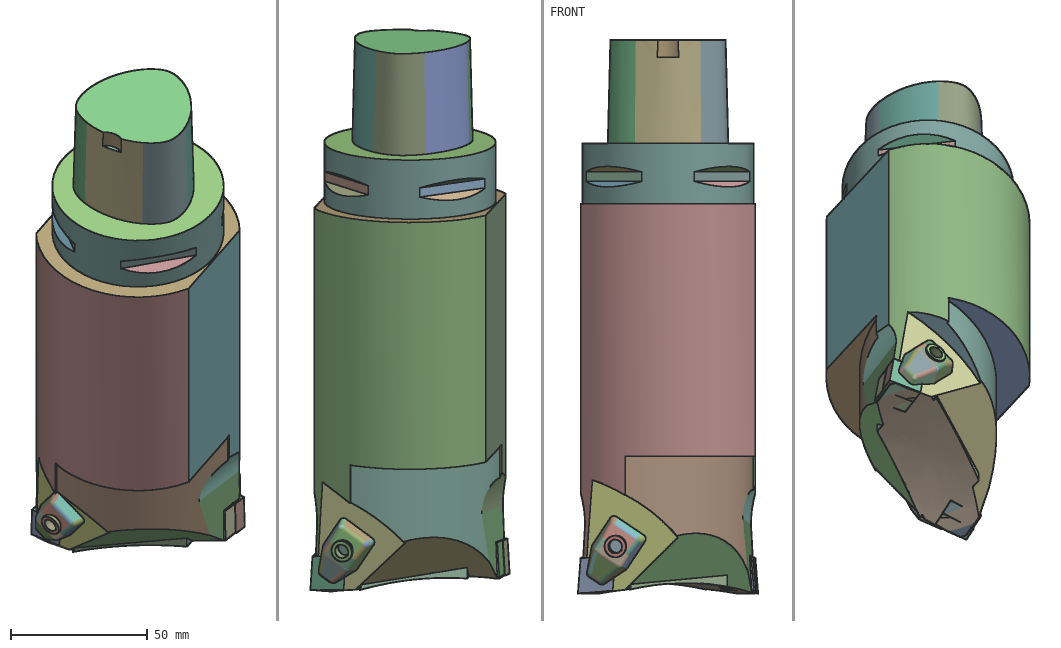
import cadquery as cq
import math

TOTAL_LENGTH = 203

SHANK_LENGTH = 38.0
SHANK_DIAMETER = 44.3
SHANK_LOBE = 1.6
SHANK_LOBE_COUNT = 3
SHANK_FIRST_FLANK = 30
SHANK_FLANK_HALF_ANGLE = 22
SHANK_SPLINE_STEPS = 8
SHANK_TAPER = 1 / 20
KEYWAY_DEPTH = 6.3
KEYWAY_RADIUS = 6
KEYWAY_OFFSET = 24.2

FLANGE_DIAMETER = 63
FLANGE_LENGTH = 22.1
GROOVE_FLOOR = 28.0
GROOVE_FLOOR_WIDTH = 3.5
GROOVE_MOUTH_WIDTH = 7.5
GROOVE_HEIGHT = 152.9
GROOVE_COUNT = 4

BODY_DIAMETER = 74.7
BODY_FLAT = 32.0
HEAD_LENGTH = 50.3

LUG_INNER_X = 15.6
LUG_INNER_Y = 11.4
RELIEF_AT_LUG_FACE_X = 32.9
RELIEF_AT_LUG_FACE_Y = 31.3
RELIEF_MID_REACH = 25.0
END_DISH_HEIGHT = 4.5
END_DISH_RADIUS = 127.9

TIP_X = -33.0
TIP_Y = -21.1
SEAT_RADIAL_TILT = 7
SEAT_AXIAL_TILT = 4.5

POCKET_WALL_START = (-5.0, 43.2)
POCKET_WALL_MIDDLE = (22.3, 34.7)
POCKET_WALL_END = (37.8, 19.9)
POCKET_FOOT = (15.0, -2)

INSERT_SIDE = 13.0
INSERT_ANGLE = 80
INSERT_THICKNESS = 5.5
SHIM_THICKNESS = 6
SHIM_SETBACK = 0.2

CHIP_SLOPE_X = 0.77
CHIP_SLOPE_Y = -1.1
CHIP_OFFSET = -12.2

LAND_START = (-14.0, -24.0)
LAND_END = (21.7, -2)
LAND_HEIGHT = 10.2

CLEARANCE_X = 27.6
CLEARANCE_STRAIGHT = 27.5
CLEARANCE_TOP = 46.7
CLEARANCE_OVERRUN = 4
CLEARANCE_ARC_RADIUS = 34.5
CLEARANCE_RADIAL_TILT = 7
CLEARANCE_AXIAL_TILT = 5
CLEARANCE_LEAN = 2

CLAMP_NOSE_U = 6
CLAMP_NOSE_V = 4.9
CLAMP_ANGLE = 56
CLAMP_LENGTH = 24.2
CLAMP_HALF_WIDTH = 7.7
CLAMP_NOSE_HALF_WIDTH = 3.5
CLAMP_SHOULDER = 10.2
CLAMP_HEIGHT = 6.3
CLAMP_NOSE_HEIGHT = 2.5
CLAMP_REAR_HEIGHT = 4
CLAMP_FILLET = 1.8
CLAMP_DRAFT = 18
SCREW_POSITION = 15.6
SCREW_DIAMETER = 8.0
SCREW_HEIGHT = 7.0
SOCKET_DIAMETER = 5.0
SOCKET_DEPTH = 4

CUTTER = 101.5
flange_top = TOTAL_LENGTH - SHANK_LENGTH
lobe_pitch = 360 / SHANK_LOBE_COUNT
flange_bottom = flange_top - FLANGE_LENGTH

seat_normal = cq.Vector(
    -math.tan(math.radians(SEAT_RADIAL_TILT)), -1, -math.tan(math.radians(SEAT_AXIAL_TILT))
)
seat_u = cq.Vector(1, -math.tan(math.radians(SEAT_RADIAL_TILT)), 0)
seat_plane = cq.Plane(origin=(TIP_X, TIP_Y, 0), xDir=seat_u, normal=seat_normal)


def both_sides(shape):
    """The shape and its copy half a turn around the tool axis."""
    return [shape, shape.rotate((0, 0, 0), (0, 0, 1), 180)]


def shank_section(z):
    """Closed three-lobed wire of the tapered shank at height z: three flanks and three lobes."""
    mean_radius = (SHANK_DIAMETER - SHANK_TAPER * (z - flange_top)) / 2

    def point(degrees):
        angle = math.radians(degrees)
        phase = SHANK_LOBE_COUNT * angle
        support = mean_radius - SHANK_LOBE * math.sin(phase)
        slope = -SHANK_LOBE_COUNT * SHANK_LOBE * math.cos(phase)
        x = support * math.cos(angle) - slope * math.sin(angle)
        y = support * math.sin(angle) + slope * math.cos(angle)
        return cq.Vector(x, y, z)

    def direction(degrees):
        angle = math.radians(degrees)
        return cq.Vector(-math.sin(angle), math.cos(angle), 0)

    def edge(start, end):
        step = (end - start) / SHANK_SPLINE_STEPS
        points = [point(start + index * step) for index in range(SHANK_SPLINE_STEPS + 1)]
        return cq.Edge.makeSpline(points, tangents=[direction(start), direction(end)])

    edges = []
    for index in range(SHANK_LOBE_COUNT):
        flank_start = SHANK_FIRST_FLANK + index * lobe_pitch - SHANK_FLANK_HALF_ANGLE
        flank_end = flank_start + 2 * SHANK_FLANK_HALF_ANGLE
        edges.append(edge(flank_start, flank_end))
        edges.append(edge(flank_end, flank_start + lobe_pitch))
    return cq.Wire.assembleEdges(edges)


def make_shank():
    shank = cq.Workplane(cq.Solid.makeLoft([shank_section(flange_top), shank_section(TOTAL_LENGTH)], True))
    keyway = (
        cq.Workplane(cq.Plane(origin=(0, -KEYWAY_OFFSET, TOTAL_LENGTH)))
        .circle(KEYWAY_RADIUS)
        .extrude(-KEYWAY_DEPTH)
    )
    return shank.cut(keyway)


def make_flange():
    radius = FLANGE_DIAMETER / 2
    flange = (
        cq.Workplane(cq.Plane(origin=(0, 0, flange_bottom))).circle(radius).extrude(FLANGE_LENGTH)
    )
    floor = GROOVE_FLOOR_WIDTH / 2
    mouth = GROOVE_MOUTH_WIDTH / 2
    groove = (
        cq.Workplane("XZ", origin=(0, 0, GROOVE_HEIGHT))
        .polyline([(GROOVE_FLOOR, -floor), (radius, -mouth), (radius, mouth), (GROOVE_FLOOR, floor)])
        .close()
        .extrude(radius, both=True)
    )
    for index in range(GROOVE_COUNT):
        angle = (index + 0.5) * 360 / GROOVE_COUNT
        flange = flange.cut(groove.rotate((0, 0, 0), (0, 0, 1), angle))
    return flange


def make_body():
    flats = cq.Workplane().box(2 * BODY_FLAT, CUTTER, flange_bottom, centered=(True, True, False))
    return cq.Workplane().circle(BODY_DIAMETER / 2).extrude(flange_bottom).intersect(flats)


def head_relief():
    """Material outside one relief arc, on the +X, -Y side between the two lugs."""
    mid = RELIEF_MID_REACH / math.sqrt(2)
    return (
        cq.Workplane()
        .moveTo(-LUG_INNER_X, -RELIEF_AT_LUG_FACE_X)
        .threePointArc((mid, -mid), (RELIEF_AT_LUG_FACE_Y, LUG_INNER_Y))
        .lineTo(CUTTER, LUG_INNER_Y)
        .lineTo(CUTTER, -CUTTER)
        .lineTo(-LUG_INNER_X, -CUTTER)
        .close()
        .extrude(HEAD_LENGTH)
    )


def seat_pocket():
    """Space in front of the seat plane, under a curved upper wall."""
    return (
        cq.Workplane(seat_plane)
        .moveTo(*POCKET_WALL_START)
        .threePointArc(POCKET_WALL_MIDDLE, POCKET_WALL_END)
        .lineTo(*POCKET_FOOT)
        .lineTo(POCKET_WALL_START[0], POCKET_FOOT[1])
        .close()
        .extrude(CUTTER)
    )


def chip_face_cut():
    """Half space below the inclined chip face, less the upright end land behind it."""
    plane = cq.Plane(
        origin=(0, 0, CHIP_OFFSET),
        xDir=(1, 0, CHIP_SLOPE_X),
        normal=(CHIP_SLOPE_X, CHIP_SLOPE_Y, -1),
    )
    half_space = cq.Workplane(plane).rect(2 * CUTTER, 2 * CUTTER).extrude(CUTTER)
    land = (
        cq.Workplane()
        .polyline([LAND_START, LAND_END, (LAND_END[0], CUTTER), (LAND_START[0], CUTTER)])
        .close()
        .extrude(LAND_HEIGHT)
    )
    return half_space.cut(land)


def clearance_cut():
    """Flank clearance on the -X side: a straight face that runs out through an arc."""
    rise = CLEARANCE_TOP - CLEARANCE_STRAIGHT

    def arc_x(height):
        run_out = CLEARANCE_ARC_RADIUS - math.sqrt(CLEARANCE_ARC_RADIUS**2 - height**2)
        return -CLEARANCE_X - run_out

    cut = (
        cq.Workplane("XZ")
        .moveTo(-CLEARANCE_X - CLEARANCE_LEAN, -CLEARANCE_OVERRUN)
        .lineTo(-CLEARANCE_X, CLEARANCE_STRAIGHT)
        .threePointArc((arc_x(rise / 2), CLEARANCE_STRAIGHT + rise / 2), (arc_x(rise), CLEARANCE_TOP))
        .lineTo(-CUTTER, CLEARANCE_TOP)
        .lineTo(-CUTTER, -CLEARANCE_OVERRUN)
        .close()
        .extrude(CUTTER, both=True)
    )
    cut = cut.rotate((0, 0, 0), (1, 0, 0), CLEARANCE_AXIAL_TILT)
    return cut.rotate((0, 0, 0), (0, 0, 1), -CLEARANCE_RADIAL_TILT)


def rhombus_plate(setback, depth, thickness):
    """Rhombic plate below the seat plane, its two outer edges moved in by the setback."""
    lead = math.radians((90 - INSERT_ANGLE) / 2)
    along = (math.cos(lead), math.sin(lead))
    across = (math.sin(lead), math.cos(lead))

    def corner(a, b):
        return (a * along[0] + b * across[0], a * along[1] + b * across[1])

    corners = [
        corner(setback, setback),
        corner(INSERT_SIDE, setback),
        corner(INSERT_SIDE, INSERT_SIDE),
        corner(setback, INSERT_SIDE),
    ]
    return (
        cq.Workplane(seat_plane).workplane(offset=-depth).polyline(corners).close().extrude(-thickness)
    )


def make_insert():
    return rhombus_plate(0, 0, INSERT_THICKNESS)


def make_shim():
    return rhombus_plate(SHIM_SETBACK, INSERT_THICKNESS, SHIM_THICKNESS)


def make_clamp():
    angle = math.radians(CLAMP_ANGLE)
    nose = seat_plane.toWorldCoords((CLAMP_NOSE_U, CLAMP_NOSE_V))
    axis = seat_plane.xDir * math.cos(angle) + seat_plane.yDir * math.sin(angle)
    base = cq.Plane(origin=nose, xDir=axis, normal=seat_plane.zDir)
    side = cq.Plane(origin=nose, xDir=axis, normal=base.yDir * -1)
    outline = [
        (0, -CLAMP_NOSE_HALF_WIDTH),
        (CLAMP_SHOULDER, -CLAMP_HALF_WIDTH),
        (CLAMP_LENGTH, -CLAMP_HALF_WIDTH),
        (CLAMP_LENGTH, CLAMP_HALF_WIDTH),
        (CLAMP_SHOULDER, CLAMP_HALF_WIDTH),
        (0, CLAMP_NOSE_HALF_WIDTH),
    ]
    block = cq.Workplane(base).polyline(outline).close().extrude(CLAMP_HEIGHT, taper=CLAMP_DRAFT)
    profile = (
        cq.Workplane(side)
        .polyline(
            [
                (0, 0),
                (0, CLAMP_NOSE_HEIGHT),
                (CLAMP_SHOULDER, CLAMP_HEIGHT),
                (SCREW_POSITION, CLAMP_HEIGHT),
                (CLAMP_LENGTH, CLAMP_REAR_HEIGHT),
                (CLAMP_LENGTH, 0),
            ]
        )
        .close()
        .extrude(CLAMP_HALF_WIDTH, both=True)
    )
    screw = cq.Workplane(base).center(SCREW_POSITION, 0).circle(SCREW_DIAMETER / 2).extrude(SCREW_HEIGHT)
    socket = (
        cq.Workplane(base)
        .workplane(offset=SCREW_HEIGHT)
        .center(SCREW_POSITION, 0)
        .circle(SOCKET_DIAMETER / 2)
        .extrude(-SOCKET_DEPTH)
    )
    dome = block.intersect(profile)
    foot_edges = dome.faces(cq.selectors.DirectionMinMaxSelector(base.zDir, False)).edges().vals()
    upper_edges = [edge for edge in dome.edges().vals() if edge not in foot_edges]
    dome = dome.newObject(upper_edges).fillet(CLAMP_FILLET)
    return dome.union(screw).cut(socket)


def make_holder():
    holder = make_body()
    dish = cq.Workplane(origin=(0, 0, END_DISH_HEIGHT - END_DISH_RADIUS)).sphere(END_DISH_RADIUS)
    holder = holder.cut(dish)
    for cut in (head_relief(), seat_pocket(), chip_face_cut(), clearance_cut()):
        for tool in both_sides(cut):
            holder = holder.cut(tool)
    for shim in both_sides(make_shim()):
        holder = holder.union(shim)
    for insert in both_sides(make_insert()):
        holder = holder.cut(insert)
    for clamp in both_sides(make_clamp()):
        holder = holder.union(clamp)
    return holder.union(make_flange()).union(make_shank())


holder = make_holder()
inserts = both_sides(make_insert())

result = cq.Compound.makeCompound([holder.val(), *[insert.val() for insert in inserts]])